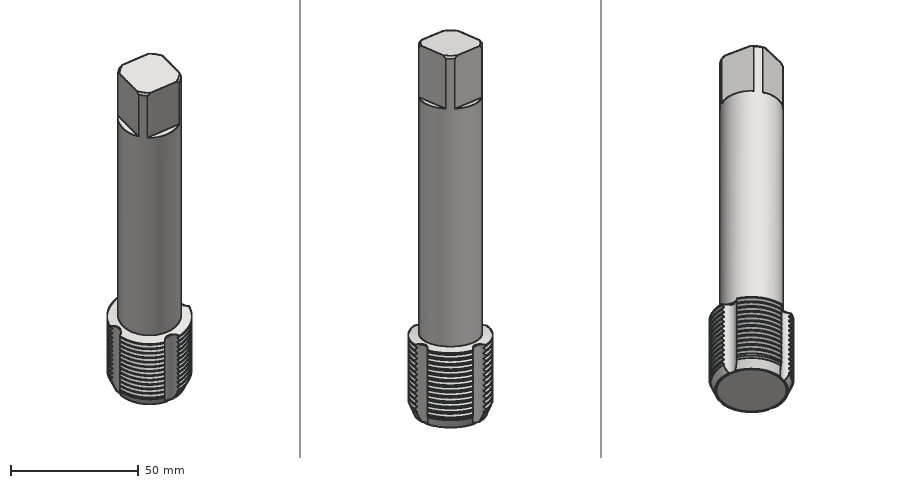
import cadquery as cq
import math

total_length = 160.0
shank_radius = 12.5
square_width = 20.0
square_length = 22.7
end_chamfer_height = 1.0
end_chamfer_width = 0.8

sleeve_height = 33.5
core_radius = 13.8
crest_radius = 16.6
thread_depth = 1.0
root_radius = crest_radius - thread_depth
crest_width = 0.5
pitch_count = 12
thread_span = 27.8
pitch = thread_span / pitch_count
first_crest_bottom = sleeve_height - crest_width

shoulder_height = 0.8
shoulder_top = sleeve_height + shoulder_height

foot_radius = 14.4
taper_angle = 22.0

flute_count = 4
flute_radius = 3.8
flute_floor_radius = 14.0


def revolve_profile(points):
    """Solid of revolution about Z from a closed outline of (radius, height) points."""
    return cq.Workplane("XZ").polyline(points).close().revolve(360, (0, 0, 0), (0, 1, 0))


def make_flutes():
    """Straight round-bottomed flutes, spaced evenly from the X axis."""
    return (
        cq.Workplane("XY")
        .polarArray(flute_floor_radius + flute_radius, 0, 360, flute_count)
        .circle(flute_radius)
        .extrude(shoulder_top)
    )


def make_square_waste():
    """Material around the square drive, to be cut from the round shank."""
    return (
        cq.Workplane("XY", origin=(0, 0, total_length - square_length))
        .circle(2 * shank_radius)
        .rect(square_width, square_width)
        .extrude(square_length)
    )


def make_shank():
    """Core, fluted conical shoulder, round shank and chamfered square drive."""
    blank = revolve_profile([
        (0, 0),
        (core_radius, 0),
        (core_radius, sleeve_height),
        (crest_radius, sleeve_height),
        (shank_radius, shoulder_top),
        (shank_radius, total_length - end_chamfer_height),
        (shank_radius - end_chamfer_width, total_length),
        (0, total_length),
    ])
    return blank.cut(make_square_waste()).cut(make_flutes())


def make_foot_cone():
    """Cone that bounds the sleeve and tapers its lower end."""
    top_radius = foot_radius + sleeve_height * math.tan(math.radians(taper_angle))
    return revolve_profile([(0, 0), (foot_radius, 0), (top_radius, sleeve_height), (0, sleeve_height)])


def make_threaded_sleeve():
    """Sleeve with ring-shaped teeth, a bore for the core, a tapered foot and flutes."""
    outline = [(core_radius, 0), (core_radius, sleeve_height), (crest_radius, sleeve_height)]
    for tooth in range(pitch_count + 1):
        crest_bottom = first_crest_bottom - tooth * pitch
        next_crest_top = crest_bottom - pitch + crest_width
        root = (crest_bottom + next_crest_top) / 2
        outline += [(crest_radius, crest_bottom), (root_radius, root), (crest_radius, next_crest_top)]
    outline.append((crest_radius, 0))
    return revolve_profile(outline).intersect(make_foot_cone()).cut(make_flutes())


shank = make_shank()
threaded_sleeve = make_threaded_sleeve()

result = cq.Compound.makeCompound([shank.val(), threaded_sleeve.val()])